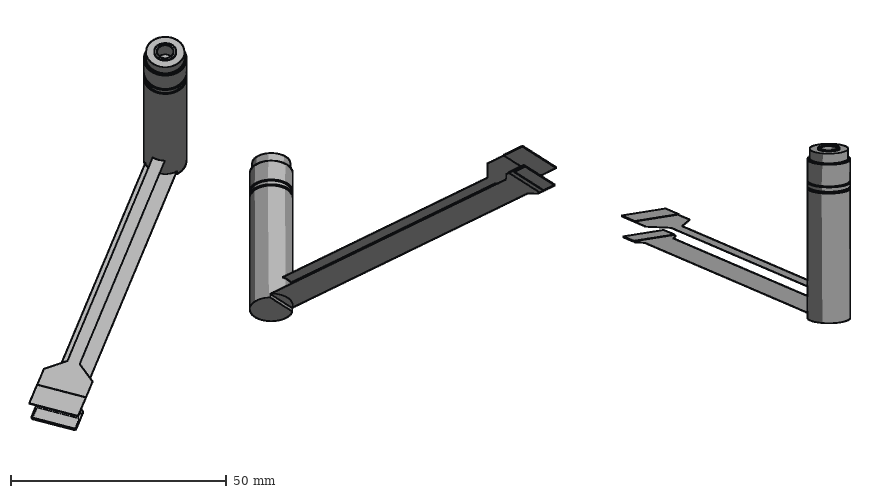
import cadquery as cq

total_height = 40.9
total_length = 88.0
barrel_diameter = 10.0
barrel_radius = barrel_diameter / 2
barrel_top = 38.5
barrel_edge_chamfer = 0.3

cap_diameter = 9.0
rim_height = 0.2
rim_diameter = 5.2
rim_chamfer = 0.1
bore_diameter = 3.8
bore_depth = 3.5
bore_mouth_chamfer = 0.1

wide_groove_diameter = 9.3
wide_groove_bottom = 31.2
wide_groove_height = 0.4
fine_groove_diameter = 9.7
fine_groove_bottom = 32.7
fine_groove_height = 0.3
groove_cutter_overlap = 0.9

step_height = 1.1
step_depth = 1.9

tail_end = barrel_radius - total_length
tail_thickness = 0.1
tail_end_gap = 0.2
pad_end = tail_end + tail_end_gap

upper_tail_bottom = 6.1
upper_tail_width = 3.0
upper_pad_width = 12.0
upper_flare_start = 15.0
upper_flare_end = 11.0
upper_stiffener_length = 6.0
upper_stiffener_thickness = 0.2

lower_tail_bottom = step_height - tail_thickness
lower_tail_width = 7.7
lower_pad_width = 11.0
lower_flare_start = 7.1
lower_flare_end = 5.5
lower_pad_length = 4.8
lower_pad_thickness = 0.2
lower_stiffener_width = 10.4
lower_stiffener_length = 3.4
lower_stiffener_thickness = 0.2


def disc(diameter, bottom, height):
    """Solid cylinder on the barrel axis."""
    return cq.Workplane("XY").workplane(offset=bottom).circle(diameter / 2).extrude(height)


def ring_groove(floor_diameter, bottom, height):
    """Ring of material to remove from the barrel's outside."""
    outer = disc(barrel_diameter + groove_cutter_overlap, bottom, height)
    return outer.cut(disc(floor_diameter, bottom, height))


def tail(width, pad_width, flare_start, flare_end, bottom):
    """Thin strip from the barrel axis that flares out to a wide pad at its end."""
    right_side = [
        (width / 2, 0),
        (width / 2, tail_end + flare_start),
        (pad_width / 2, tail_end + flare_end),
        (pad_width / 2, pad_end),
    ]
    left_side = [(-x, y) for x, y in reversed(right_side)]
    outline = cq.Workplane("XY").workplane(offset=bottom).polyline(right_side + left_side)
    return outline.close().extrude(tail_thickness)


def plate(width, y_start, y_end, bottom, thickness):
    """Rectangular layer over the last stretch of a tail."""
    length = y_start - y_end
    return cq.Workplane("XY", origin=(0, y_end + length / 2, bottom)).rect(width, length).extrude(thickness)


barrel = disc(barrel_diameter, 0, barrel_top).faces(">Z").chamfer(barrel_edge_chamfer)
barrel = barrel.cut(ring_groove(wide_groove_diameter, wide_groove_bottom, wide_groove_height))
barrel = barrel.cut(ring_groove(fine_groove_diameter, fine_groove_bottom, fine_groove_height))

rim_bottom = total_height - rim_height
cap = disc(cap_diameter, barrel_top, rim_bottom - barrel_top)
rim = disc(rim_diameter, rim_bottom, rim_height).faces(">Z").chamfer(rim_chamfer)
bore = disc(bore_diameter, total_height - bore_depth, bore_depth)
body = barrel.union(cap).union(rim).cut(bore)
body = body.faces(">Z").edges(cq.selectors.RadiusNthSelector(0)).chamfer(bore_mouth_chamfer)

step_center = step_depth / 2 - barrel_radius
step = cq.Workplane("XY").center(0, step_center).rect(barrel_diameter, step_depth).extrude(step_height)
body = body.cut(step)

upper_tail = tail(
    upper_tail_width, upper_pad_width, upper_flare_start, upper_flare_end, upper_tail_bottom
)
upper_stiffener = plate(
    upper_pad_width,
    tail_end + upper_stiffener_length,
    pad_end,
    upper_tail_bottom + tail_thickness,
    upper_stiffener_thickness,
)

lower_tail = tail(
    lower_tail_width, lower_pad_width, lower_flare_start, lower_flare_end, lower_tail_bottom
)
lower_pad = plate(
    lower_pad_width,
    tail_end + lower_pad_length,
    pad_end,
    lower_tail_bottom + tail_thickness,
    lower_pad_thickness,
)
lower_stiffener = plate(
    lower_stiffener_width,
    tail_end + lower_stiffener_length,
    tail_end,
    lower_tail_bottom - lower_stiffener_thickness,
    lower_stiffener_thickness,
)

result = body.union(upper_tail).union(upper_stiffener)
result = result.union(lower_tail).union(lower_pad).union(lower_stiffener)